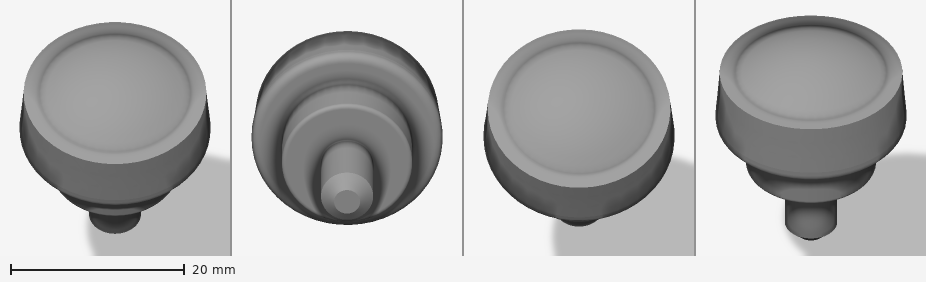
import cadquery as cq

total_height = 26.0
pin_chamfer = 1.5
neck_bottom = 10.0
neck_top = 16.0
head_taper_start = 17.5
head_top = 23.5

pin_radius = 6.0 / 2
neck_radius = 15.0 / 2
head_radius = 21.97 / 2
head_top_radius = 10.5
blend_radius = 8.9
dome_radius = 8.63

neck_fillet = 0.5
head_fillet = 1.0
pin_fillet = 0.15
blend_height = 0.08

dome_start = head_top + blend_height
dome_rise = total_height - dome_start
dome_sphere_radius = (dome_radius**2 + dome_rise**2) / (2 * dome_rise)
dome_center = total_height - dome_sphere_radius
dome_mid_radius = dome_radius / 2
dome_mid_height = dome_center + (dome_sphere_radius**2 - dome_mid_radius**2) ** 0.5

profile = (
    cq.Workplane("XZ")
    .lineTo(pin_radius - pin_chamfer, 0)
    .lineTo(pin_radius, pin_chamfer)
    .lineTo(pin_radius, neck_bottom - pin_fillet)
    .tangentArcPoint((pin_radius + pin_fillet, neck_bottom), relative=False)
    .lineTo(neck_radius - neck_fillet, neck_bottom)
    .tangentArcPoint((neck_radius, neck_bottom + neck_fillet), relative=False)
    .lineTo(neck_radius, neck_top - neck_fillet)
    .tangentArcPoint((neck_radius + neck_fillet, neck_top), relative=False)
    .lineTo(head_radius - head_fillet, neck_top)
    .tangentArcPoint((head_radius, neck_top + head_fillet), relative=False)
    .lineTo(head_radius, head_taper_start)
    .lineTo(head_top_radius, head_top)
    .lineTo(blend_radius, head_top)
    .tangentArcPoint((dome_radius, dome_start), relative=False)
    .threePointArc((dome_mid_radius, dome_mid_height), (0, total_height))
    .close()
)

result = profile.revolve(360, (0, 0), (0, 1))